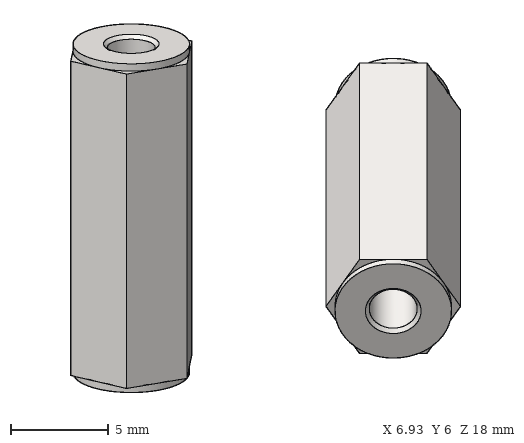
import cadquery as cq
import math

length = 18.0
across_flats = 6.0
across_corners = across_flats / math.cos(math.pi / 6)

collar_diameter = across_flats
collar_height = 0.4

bore_diameter = 2.47
bore_depth = 7.2
mouth_diameter = 2.86
countersink_depth = (mouth_diameter - bore_diameter) / 2


def hexagonal_spacer():
    """Hexagonal body with corners on the X axis, between two round collars."""
    body_height = length - 2 * collar_height
    body = (
        cq.Workplane("XY")
        .workplane(offset=collar_height)
        .polygon(6, across_corners)
        .extrude(body_height)
    )
    core = cq.Workplane("XY").circle(collar_diameter / 2).extrude(length)
    return body.union(core)


def top_bore():
    """Flat-bottomed bore and countersink, revolved about the Z axis."""
    bore_radius = bore_diameter / 2
    bore_floor = length - bore_depth
    return (
        cq.Workplane("XZ")
        .moveTo(0, bore_floor)
        .lineTo(bore_radius, bore_floor)
        .lineTo(bore_radius, length - countersink_depth)
        .lineTo(mouth_diameter / 2, length)
        .lineTo(0, length)
        .close()
        .revolve(360, (0, 0, 0), (0, 1, 0))
    )


upper_bore = top_bore()
lower_bore = upper_bore.mirror("XY", (0, 0, length / 2))
result = hexagonal_spacer().cut(upper_bore).cut(lower_bore)